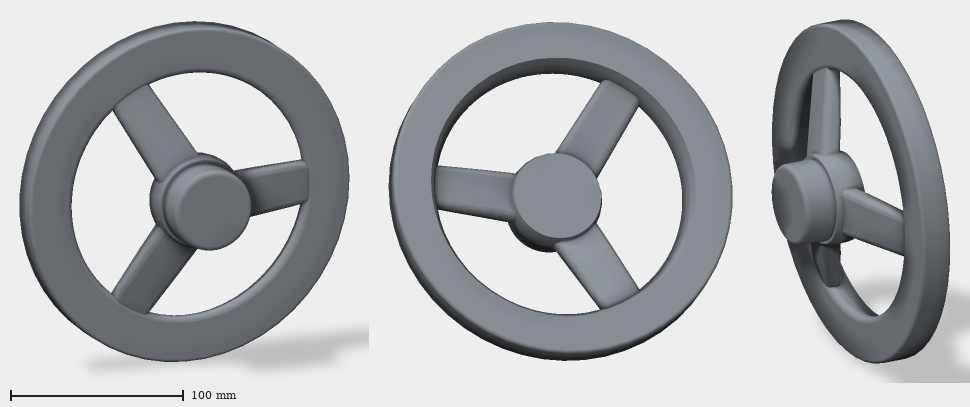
import cadquery as cq
import math


rim_radius = 100.0
rim_width = 18.0
rim_edge_fillet = 2.0
bore_front_radius = 78.0
bore_middle_radius = 74.0
bore_back_radius = 72.0
bore_back_fillet = 3.5

total_length = 56.0
barrel_start = rim_width
barrel_end = 37.0
barrel_front_radius = 25.5
barrel_middle_radius = 27.5
barrel_back_radius = 26.0
hub_end_radius = 24.0
hub_end_fillet = 3.0

spoke_count = 3
spoke_inner_radius = 18.0
spoke_outer_radius = 76.0
spoke_back_at_axis = 42.6
spoke_back_slope = 0.337
spoke_bend_radius = 41.3
spoke_bend_x = 16.7
spoke_front_inner_slope = 0.31
spoke_front_outer_slope = 0.245
spoke_half_width_at_axis = 14.9
spoke_side_taper = 1.5
spoke_edge_fillet = 4.0
spoke_root_fillet = 0.8
root_margin = 2.0

full_turn = 360.0
origin = (0, 0, 0)
x_direction = (1, 0, 0)


def revolve_about_x(profile):
    """Turn a closed profile, drawn in the XY plane, once about the X axis."""
    return profile.close().revolve(full_turn, origin, x_direction)


def make_rim():
    profile = (
        cq.Workplane("XY")
        .moveTo(0, bore_front_radius)
        .lineTo(0, rim_radius)
        .lineTo(rim_width, rim_radius)
        .lineTo(rim_width, bore_back_radius)
        .threePointArc((rim_width / 2, bore_middle_radius), (0, bore_front_radius))
    )
    outer_edges = cq.selectors.RadiusNthSelector(-1)
    rim = revolve_about_x(profile)
    rim = rim.faces("<X or >X").edges(outer_edges).fillet(rim_edge_fillet)
    bore_back_edge = cq.selectors.RadiusNthSelector(0)
    return rim.faces(">X").edges(bore_back_edge).fillet(bore_back_fillet)


def make_hub():
    barrel_middle = (barrel_start + barrel_end) / 2
    profile = (
        cq.Workplane("XY")
        .moveTo(barrel_start, 0)
        .lineTo(barrel_start, barrel_front_radius)
        .threePointArc((barrel_middle, barrel_middle_radius), (barrel_end, barrel_back_radius))
        .lineTo(barrel_end, hub_end_radius)
        .lineTo(total_length, hub_end_radius)
        .lineTo(total_length, 0)
    )
    return revolve_about_x(profile).faces(">X").edges().fillet(hub_end_fillet)


def spoke_back_x(radius):
    return spoke_back_at_axis - spoke_back_slope * radius


def spoke_front_x(radius):
    slope = spoke_front_inner_slope if radius < spoke_bend_radius else spoke_front_outer_slope
    return spoke_bend_x - slope * (radius - spoke_bend_radius)


def spoke_half_width(radius):
    return spoke_half_width_at_axis - radius * math.tan(math.radians(spoke_side_taper))


def make_spoke():
    """One spoke along +Y, running from inside the hub to inside the rim."""
    profile = (
        cq.Workplane("XY")
        .moveTo(spoke_front_x(spoke_inner_radius), spoke_inner_radius)
        .lineTo(spoke_bend_x, spoke_bend_radius)
        .lineTo(spoke_front_x(spoke_outer_radius), spoke_outer_radius)
        .lineTo(spoke_back_x(spoke_outer_radius), spoke_outer_radius)
        .lineTo(spoke_back_x(spoke_inner_radius), spoke_inner_radius)
    )
    inner_half = spoke_half_width(0)
    outer_half = spoke_half_width(rim_radius)
    sides = (
        cq.Workplane("YZ")
        .polyline([(0, -inner_half), (rim_radius, -outer_half), (rim_radius, outer_half), (0, inner_half)])
        .close()
        .extrude(total_length)
    )
    spoke = revolve_about_x(profile).intersect(sides)
    long_edges = spoke.faces("<Z or >Z").edges("not #X").edges("not (<Y or >Y)")
    return long_edges.fillet(spoke_edge_fillet)


def make_spoked_hub():
    hub = make_hub()
    spoke = make_spoke()
    for index in range(spoke_count):
        hub = hub.union(spoke.rotate(origin, x_direction, index * full_turn / spoke_count))
    reach = barrel_middle_radius + root_margin
    around_barrel = cq.selectors.BoxSelector(
        (barrel_start + root_margin, -reach, -reach),
        (barrel_end - root_margin, reach, reach),
    )
    return hub.edges(around_barrel).edges("%BSPLINE").fillet(spoke_root_fillet)


result = make_spoked_hub().union(make_rim())